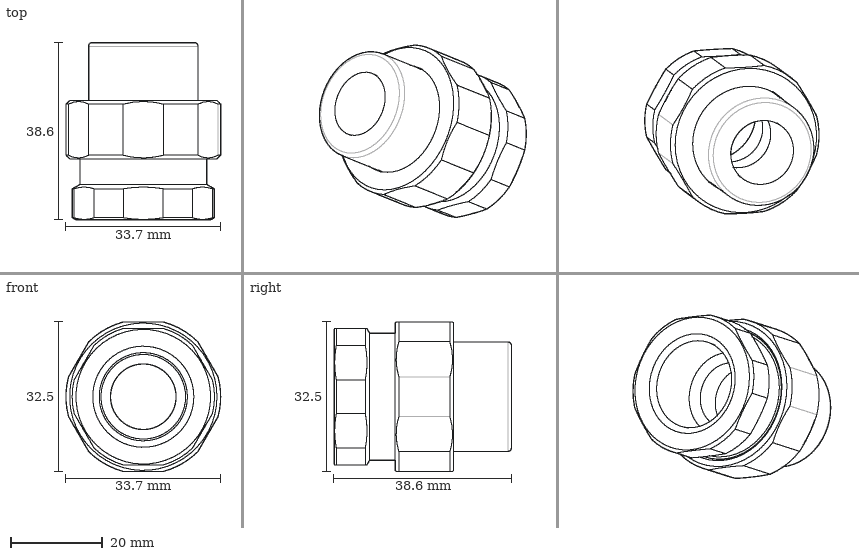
import cadquery as cq
import math

TOTAL_LENGTH = 38.61

PASSAGE_DIA = 14.22
SOCKET_MOUTH_DIA = 22.0
SOCKET_START_DIA = 19.2
SOCKET_END_DIA = 18.4
SOCKET_TAPER = 1 / 16
CONE_SLOPE = math.tan(math.radians(30))
MOUTH_DEPTH = (SOCKET_MOUTH_DIA - SOCKET_START_DIA) / 2 * CONE_SLOPE
SOCKET_END_Y = MOUTH_DEPTH + (SOCKET_START_DIA - SOCKET_END_DIA) / SOCKET_TAPER
FUNNEL_END_Y = SOCKET_END_Y + (SOCKET_END_DIA - PASSAGE_DIA) / 2 * CONE_SLOPE

HEAD_FLATS = 29.72
HEAD_DIA = 30.96
HEAD_FACE_DIA = 29.3
HEAD_BACK_Y = 7.73

THREAD_DIA = 28.7
NECK_DIA = 27.69
THREAD_START_GAP = 0.4

NUT_FRONT_Y = 13.26
NUT_LENGTH = 12.75
NUT_BACK_Y = NUT_FRONT_Y + NUT_LENGTH
NUT_FLATS = 32.54
NUT_DIA = 33.72
NUT_CHAMFER = 0.83
NUT_BORE_DIA = THREAD_DIA
NUT_MOUTH_DIA = 29.5
NUT_LIP_DIA = 24.13
NUT_LIP_THICKNESS = 2.5

TAIL_DIA = 23.88
TAIL_EDGE_RADIUS = 0.83
FLANGE_DIA = 28.45
FLANGE_THICKNESS = 2.5
FLANGE_BACK_Y = NUT_BACK_Y - NUT_LIP_THICKNESS
JOINT_Y = FLANGE_BACK_Y - FLANGE_THICKNESS


def revolve_about_y(profile):
    """Turn a closed list of (diameter, Y) corners into a ring around the Y axis."""
    corners = [(diameter / 2, y) for diameter, y in profile]
    return cq.Workplane("XY").polyline(corners).close().revolve(360, (0, 0, 0), (0, 1, 0))


def hexagon_along_y(across_flats, start_y, end_y):
    """Hexagonal bar along Y with two of its flats facing up and down."""
    across_corners = across_flats / math.cos(math.pi / 6)
    bar = cq.Workplane("XZ", origin=(0, start_y, 0)).polygon(6, across_corners)
    return bar.extrude(start_y - end_y)


def make_socket_body():
    front_chamfer = (HEAD_DIA - HEAD_FACE_DIA) / 2 * CONE_SLOPE
    back_chamfer = (HEAD_DIA - NECK_DIA) / 2 * CONE_SLOPE
    head = revolve_about_y([
        (PASSAGE_DIA, FUNNEL_END_Y),
        (SOCKET_END_DIA, SOCKET_END_Y),
        (SOCKET_START_DIA, MOUTH_DEPTH),
        (SOCKET_MOUTH_DIA, 0),
        (HEAD_FACE_DIA, 0),
        (HEAD_DIA, front_chamfer),
        (HEAD_DIA, HEAD_BACK_Y - back_chamfer),
        (NECK_DIA, HEAD_BACK_Y),
        (NECK_DIA, FUNNEL_END_Y),
    ]).intersect(hexagon_along_y(HEAD_FLATS, 0, FUNNEL_END_Y))

    thread_start_y = NUT_FRONT_Y + THREAD_START_GAP
    thread_chamfer = (THREAD_DIA - NECK_DIA) / 2
    threaded_end = revolve_about_y([
        (NECK_DIA, thread_start_y),
        (THREAD_DIA, thread_start_y + thread_chamfer),
        (THREAD_DIA, JOINT_Y),
        (PASSAGE_DIA, JOINT_Y),
        (PASSAGE_DIA, FUNNEL_END_Y),
        (NECK_DIA, FUNNEL_END_Y),
    ])
    return head.union(threaded_end)


def make_nut():
    face_dia = NUT_DIA - 2 * NUT_CHAMFER
    mouth_chamfer = (NUT_MOUTH_DIA - NUT_BORE_DIA) / 2
    return revolve_about_y([
        (NUT_BORE_DIA, NUT_FRONT_Y + mouth_chamfer),
        (NUT_MOUTH_DIA, NUT_FRONT_Y),
        (face_dia, NUT_FRONT_Y),
        (NUT_DIA, NUT_FRONT_Y + NUT_CHAMFER),
        (NUT_DIA, NUT_BACK_Y - NUT_CHAMFER),
        (face_dia, NUT_BACK_Y),
        (NUT_LIP_DIA, NUT_BACK_Y),
        (NUT_LIP_DIA, FLANGE_BACK_Y),
        (NUT_BORE_DIA, FLANGE_BACK_Y),
    ]).intersect(hexagon_along_y(NUT_FLATS, NUT_FRONT_Y, NUT_BACK_Y))


def make_tailpiece():
    tailpiece = revolve_about_y([
        (PASSAGE_DIA, JOINT_Y),
        (FLANGE_DIA, JOINT_Y),
        (FLANGE_DIA, FLANGE_BACK_Y),
        (TAIL_DIA, FLANGE_BACK_Y),
        (TAIL_DIA, TOTAL_LENGTH),
        (PASSAGE_DIA, TOTAL_LENGTH),
    ])
    outer_edge = cq.selectors.RadiusNthSelector(-1)
    return tailpiece.faces(">Y").edges(outer_edge).fillet(TAIL_EDGE_RADIUS)


socket_body = make_socket_body()
nut = make_nut()
tailpiece = make_tailpiece()

result = cq.Compound.makeCompound([socket_body.val(), nut.val(), tailpiece.val()])